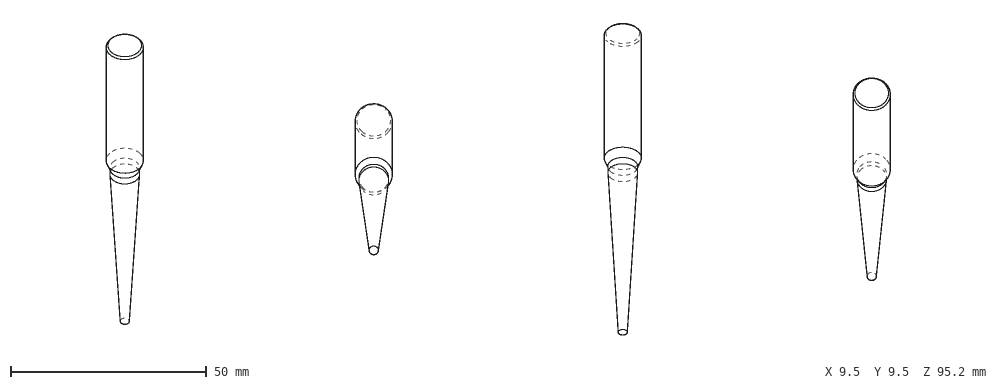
import cadquery as cq

total_length = 95.2
shank_diameter = 9.5
neck_diameter = 7.6
tip_diameter = 2.4
cutter_length = 50.8
neck_length = 2.0
shoulder_length = 2.6
chamfer_height = 0.6
chamfer_width = 0.5

shank_radius = shank_diameter / 2
neck_radius = neck_diameter / 2
tip_radius = tip_diameter / 2
neck_top = cutter_length + neck_length
shoulder_top = neck_top + shoulder_length


def revolved(profile):
    """Turn a closed (radius, height) outline about the Z axis."""
    return cq.Workplane("XZ").polyline(profile).close().revolve(360, (0, 0, 0), (0, 1, 0))


def make_cutter():
    """Tapered cutting portion, from the flat tip up to the neck."""
    return revolved([
        (0, 0),
        (tip_radius, 0),
        (neck_radius, cutter_length),
        (0, cutter_length),
    ])


def make_shank():
    """Cylindrical shank with a chamfered end, a conical shoulder and a short neck."""
    return revolved([
        (0, cutter_length),
        (neck_radius, cutter_length),
        (neck_radius, neck_top),
        (shank_radius, shoulder_top),
        (shank_radius, total_length - chamfer_height),
        (shank_radius - chamfer_width, total_length),
        (0, total_length),
    ])


cutter = make_cutter()
shank = make_shank()

result = cq.Compound.makeCompound([cutter.val(), shank.val()])